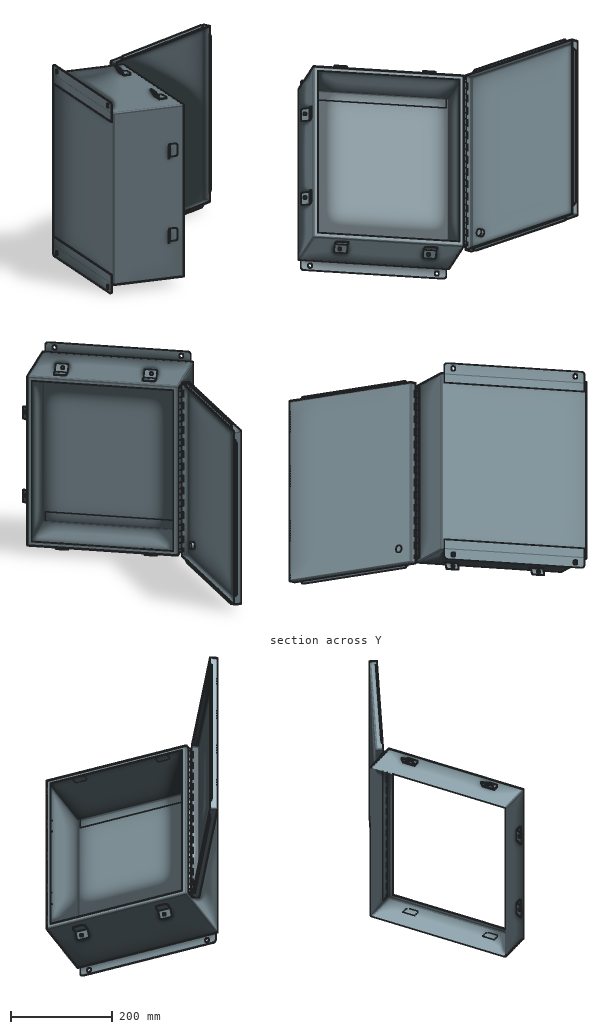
import cadquery as cq
import math


sheet = 1.9
bend_radius = 2.5

box_width = 304.5
box_height = 355.5
box_depth = 152.5
rim_lip = 10.0

foot_width = 293.0
foot_height = 39.5
foot_thickness = sheet
foot_overhang = 19.0
foot_corner_radius = 6.5
foot_slot_width = 8.0
foot_slot_length = 9.5
foot_slot_spacing = 255.0
foot_slot_edge = 10.0

clip_width = 26.0
clip_thickness = sheet
clip_setback = 15.5
clip_plate_length = 17.0
clip_corner_radius = 5.0
clip_reach = 17.5
clip_tab_tilt = 30.0
clip_tab_corner = 3.0
clip_hole_diameter = 6.5
clip_hole_from_tip = 8.0
clip_hole_shift = 2.0
side_clip_offset = 87.0
end_clip_offset = 89.5

knuckle_radius = 2.5
hinge_length = 342.5
full_knuckles = 26
hinge_setback = 7.5
leaf_length = 17.0
leaf_clearance = 0.5
hinge_x = -box_width / 2 - knuckle_radius
hinge_y = box_depth - hinge_setback
knuckle_pitch = hinge_length / (full_knuckles + 1)

door_width = 314.5
door_height = 363.5
door_depth = 16.0
door_bend_radius = 3.0
door_open_angle = 120.8
door_leaf_overlap = 3.0
door_hinge_gap = 5.0
flange_reach = 6.0
flange_slope = 15.0
flange_margin = 19.5
free_flange_length = 326.5
stud_diameter = 14.5
stud_height = 7.5
stud_from_edge = 32.5
stud_z = -150.0
door_left = hinge_x - knuckle_radius - sheet
door_rim_y = hinge_y + door_hinge_gap
door_face_y = door_rim_y + door_depth


def block(x_range, y_range, z_range):
    """Box between the given limits."""
    size = [high - low for low, high in (x_range, y_range, z_range)]
    corner = (x_range[0], y_range[0], z_range[0])
    return cq.Workplane("XY").box(*size, centered=False).translate(corner)


def centred(length):
    return (-length / 2, length / 2)


def knuckle_spans():
    start = -hinge_length / 2
    joints = [start + knuckle_pitch * (i + 0.5) for i in range(full_knuckles + 1)]
    ends = [start, *joints, -start]
    return list(zip(ends[:-1], ends[1:]))


def knuckle(z_range):
    return (
        cq.Workplane("XY", origin=(hinge_x, hinge_y, z_range[0]))
        .circle(knuckle_radius)
        .extrude(z_range[1] - z_range[0])
    )


def make_housing():
    """Open-fronted box with an inward lip, the hinge leaf and every second knuckle."""
    width, height = box_width, box_height
    outside = block(centred(width), (0, box_depth), centred(height)).edges().fillet(bend_radius)
    inside = block(
        centred(width - 2 * sheet),
        (sheet, box_depth - sheet),
        centred(height - 2 * sheet),
    ).edges().fillet(bend_radius - sheet)
    opening = block(
        centred(width - 2 * rim_lip),
        (box_depth / 2, box_depth + sheet),
        centred(height - 2 * rim_lip),
    )
    housing = outside.cut(inside).cut(opening)

    leaf_x = (-width / 2 - sheet, -width / 2)
    leaf_top = hinge_y - knuckle_radius - leaf_clearance
    housing = housing.union(block(leaf_x, (hinge_y - leaf_length, leaf_top), centred(hinge_length)))
    for span in knuckle_spans()[1::2]:
        housing = housing.union(block(leaf_x, (leaf_top, hinge_y), span)).union(knuckle(span))
    return housing


def make_foot(side):
    """Mounting plate on the housing back; side is +1 for the top, -1 for the bottom."""
    outer_z = side * (box_height / 2 + foot_overhang)
    inner_z = outer_z - side * foot_height
    foot = block(centred(foot_width), (-foot_thickness, 0), sorted((inner_z, outer_z)))
    foot = foot.edges("|Y").edges(">Z" if side > 0 else "<Z").fillet(foot_corner_radius)
    slot_z = outer_z - side * foot_slot_edge
    slots = (
        cq.Workplane("XZ")
        .pushPoints([(x, slot_z) for x in centred(foot_slot_spacing)])
        .slot2D(foot_slot_length, foot_slot_width, 90)
        .extrude(foot_thickness)
    )
    return foot.cut(slots)


def make_clip():
    """Clip on a wall at X = 0, front end at Y = 0, with a perforated tab bent outward."""
    tilt = math.radians(clip_tab_tilt)
    tab_length = (clip_reach - clip_thickness * math.sin(tilt)) / math.cos(tilt)
    plate = block((0, clip_thickness), (-clip_plate_length, 0), centred(clip_width))
    plate = plate.edges("|X and >Y").fillet(clip_corner_radius)

    tab = block((0, tab_length), (-clip_thickness, 0), centred(clip_width))
    tab = tab.edges("|Y and >X").fillet(clip_tab_corner)
    hole = (
        cq.Workplane("XZ", origin=(tab_length - clip_hole_from_tip, 0, clip_hole_shift))
        .circle(clip_hole_diameter / 2)
        .extrude(clip_thickness)
    )
    tab = tab.cut(hole).rotate((0, 0, 0), (0, 0, 1), -clip_tab_tilt)
    tab = tab.translate((0, -clip_plate_length + clip_thickness, 0))
    behind_wall = block((-clip_reach, 0), (-2 * clip_plate_length, 0), centred(2 * clip_width))
    return plate.union(tab).cut(behind_wall)


def make_clips():
    """Two clips on each side of the housing except the hinge side."""
    clips = []
    sides = (
        (0, box_width / 2, side_clip_offset),
        (-90, box_height / 2, end_clip_offset),
        (90, box_height / 2, end_clip_offset),
    )
    for turn, wall, offset in sides:
        for shift in (-offset, offset):
            clip = make_clip().translate((wall, box_depth - clip_setback, shift))
            clips.append(clip.rotate((0, 0, 0), (0, 1, 0), turn))
    return clips


def make_flange(length):
    """Clamping flange along Z, sloping outward (+X) and forward (+Y) from a wall at X = 0."""
    slope = math.tan(math.radians(flange_slope))
    flange_drop = slope * flange_reach
    thickness = sheet * math.hypot(1, slope)
    root_y = -slope * sheet
    profile = [
        (-sheet, root_y),
        (flange_reach, flange_drop),
        (flange_reach, flange_drop + thickness),
        (-sheet, root_y + thickness),
    ]
    strip = cq.Workplane("XY").polyline(profile).close().extrude(length / 2, both=True)
    half, tip_half = length / 2, length / 2 - flange_reach
    plan = [
        (-sheet, -half),
        (0, -half),
        (flange_reach, -tip_half),
        (flange_reach, tip_half),
        (0, half),
        (-sheet, half),
    ]
    trim = cq.Workplane("XZ").polyline(plan).close().extrude(door_depth, both=True)
    return strip.intersect(trim).translate((0, -root_y, 0))


def make_door():
    """Shallow pan with flanges on three sides, built shut and then swung open on the hinge."""
    x_range = (door_left, door_left + door_width)
    y_range = (door_rim_y, door_face_y)
    outside = block(x_range, y_range, centred(door_height))
    outside = outside.edges(">Y or |Y").fillet(door_bend_radius)
    inside = block(
        (x_range[0] + sheet, x_range[1] - sheet),
        (door_rim_y, door_face_y - sheet),
        centred(door_height - 2 * sheet),
    )
    inside = inside.edges(">Y or |Y").fillet(door_bend_radius - sheet)
    stud = (
        cq.Workplane("XZ", origin=(door_left + stud_from_edge, door_face_y - sheet, stud_z))
        .circle(stud_diameter / 2)
        .extrude(stud_height)
    )
    door = outside.cut(inside).union(stud)

    door = door.union(make_flange(free_flange_length).translate((x_range[1], door_rim_y, 0)))
    long_flange = make_flange(door_width - 2 * flange_margin)
    middle_x = door_left + door_width / 2
    for turn in (-90, 90):
        flange = long_flange.translate((door_height / 2, 0, 0)).rotate((0, 0, 0), (0, 1, 0), turn)
        door = door.union(flange.translate((middle_x, door_rim_y, 0)))

    leaf_x = (door_left + sheet, door_left + 2 * sheet)
    leaf_y = (hinge_y, door_rim_y + door_leaf_overlap)
    for span in knuckle_spans()[0::2]:
        door = door.union(block(leaf_x, leaf_y, span)).union(knuckle(span))
    return door.rotate((hinge_x, hinge_y, 0), (hinge_x, hinge_y, 1), door_open_angle)


housing = make_housing()
door = make_door()
feet = [make_foot(side) for side in (1, -1)]
clips = make_clips()

result = cq.Compound.makeCompound(
    [
        housing.val(),
        door.val(),
        *[foot.val() for foot in feet],
        *[clip.val() for clip in clips],
    ]
)